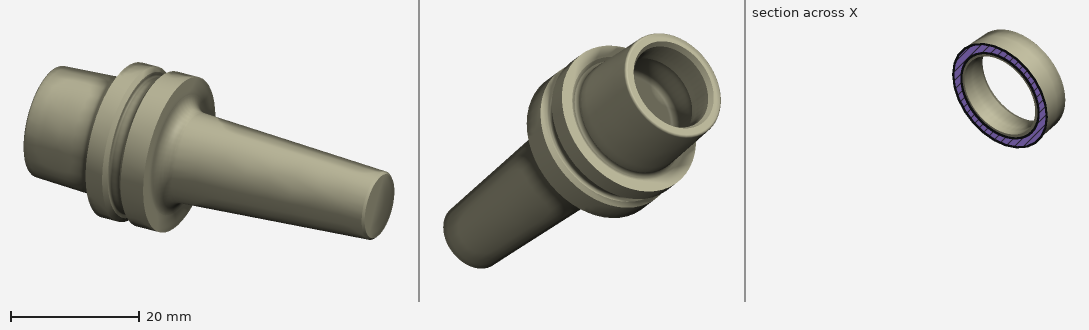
import cadquery as cq
import math

flange_face_x = 12.8
flange_back_x = 22.85
length = 57.9

flange_radius = 12.5

groove_start_x = 15.7
groove_end_x = 18.95
groove_chamfer_length = 0.6
groove_chamfer_depth = 0.75
groove_floor_radius = 10.95
groove_corner_round = 0.35

taper_small_radius = 9.0
taper_large_radius = 9.55
taper_end_x = 11.8
land_end_x = 12.2
rim_round = 0.4

recess_depth = 0.3
recess_outer_radius = 10.6
recess_floor_radius = 10.0
neck_radius = 9.4
neck_blend = recess_floor_radius - neck_radius
recess_floor_x = flange_face_x + recess_depth

mouth_radius = 7.45
mouth_length = 0.8
throat_radius = 6.95
throat_end_x = 5.4
chamber_radius = 7.5
chamber_wall_end_x = 10.1
chamber_floor_radius = 6.55
chamber_corner_round = chamber_radius - chamber_floor_radius
chamber_floor_x = chamber_wall_end_x + chamber_corner_round

shank_root_radius = 7.4
shank_tip_radius = 5.5
shank_root_fillet = 2.45
tip_chamfer = 0.35


def revolve_about_x(profile):
    """Turn a closed profile, drawn as (axial position, radius), about the X axis."""
    return profile.close().revolve(360, (0, 0, 0), (1, 0, 0))


def arc_point(center_x, center_radius, arc_radius, angle):
    """Point of an arc, at an angle in degrees measured from the +X direction."""
    turn = math.radians(angle)
    return (center_x + arc_radius * math.cos(turn), center_radius + arc_radius * math.sin(turn))


def make_taper_and_flange():
    neck_blend_x = recess_floor_x - neck_blend
    rim_middle = arc_point(rim_round, taper_small_radius - rim_round, rim_round, 135)
    neck_middle = arc_point(neck_blend_x, recess_floor_radius, neck_blend, -45)
    profile = (
        cq.Workplane("XY")
        .lineTo(0, taper_small_radius - rim_round)
        .threePointArc(rim_middle, (rim_round, taper_small_radius))
        .lineTo(taper_end_x, taper_large_radius)
        .lineTo(land_end_x, taper_large_radius)
        .lineTo(neck_blend_x, neck_radius)
        .threePointArc(neck_middle, (recess_floor_x, recess_floor_radius))
        .lineTo(flange_face_x, recess_outer_radius)
        .lineTo(flange_face_x, flange_radius)
        .lineTo(flange_back_x, flange_radius)
        .lineTo(flange_back_x, 0)
    )
    return revolve_about_x(profile)


def make_gripper_groove():
    front_wall_x = groove_start_x + groove_chamfer_length
    back_wall_x = groove_end_x - groove_chamfer_length
    floor_start_x = front_wall_x + groove_corner_round
    floor_end_x = back_wall_x - groove_corner_round
    wall_top = flange_radius - groove_chamfer_depth
    wall_bottom = groove_floor_radius + groove_corner_round
    front_middle = arc_point(floor_start_x, wall_bottom, groove_corner_round, -135)
    back_middle = arc_point(floor_end_x, wall_bottom, groove_corner_round, -45)
    profile = (
        cq.Workplane("XY")
        .moveTo(groove_start_x, flange_radius)
        .lineTo(front_wall_x, wall_top)
        .lineTo(front_wall_x, wall_bottom)
        .threePointArc(front_middle, (floor_start_x, groove_floor_radius))
        .lineTo(floor_end_x, groove_floor_radius)
        .threePointArc(back_middle, (back_wall_x, wall_bottom))
        .lineTo(back_wall_x, wall_top)
        .lineTo(groove_end_x, flange_radius)
    )
    return revolve_about_x(profile)


def make_shank():
    profile = (
        cq.Workplane("XY")
        .moveTo(flange_back_x, 0)
        .lineTo(flange_back_x, shank_root_radius)
        .lineTo(length - tip_chamfer, shank_tip_radius)
        .lineTo(length, shank_tip_radius - tip_chamfer)
        .lineTo(length, 0)
    )
    return revolve_about_x(profile)


def make_bore():
    corner_middle = arc_point(chamber_wall_end_x, chamber_floor_radius, chamber_corner_round, 45)
    profile = (
        cq.Workplane("XY")
        .lineTo(0, mouth_radius)
        .lineTo(mouth_length, throat_radius)
        .lineTo(throat_end_x, throat_radius)
        .lineTo(throat_end_x, chamber_radius)
        .lineTo(chamber_wall_end_x, chamber_radius)
        .threePointArc(corner_middle, (chamber_floor_x, chamber_floor_radius))
        .lineTo(chamber_floor_x, 0)
    )
    return revolve_about_x(profile)


def fillet_shank_root(body):
    """Round the inside corner where the shank meets the back of the flange."""
    margin = 0.05
    reach = shank_root_radius + margin
    root_edge = cq.selectors.BoxSelector(
        (flange_back_x - margin, -reach, -reach),
        (flange_back_x + margin, reach, reach),
        boundingbox=True,
    )
    return body.edges(root_edge).fillet(shank_root_fillet)


body = fillet_shank_root(make_taper_and_flange().union(make_shank()))
result = body.cut(make_gripper_groove()).cut(make_bore())